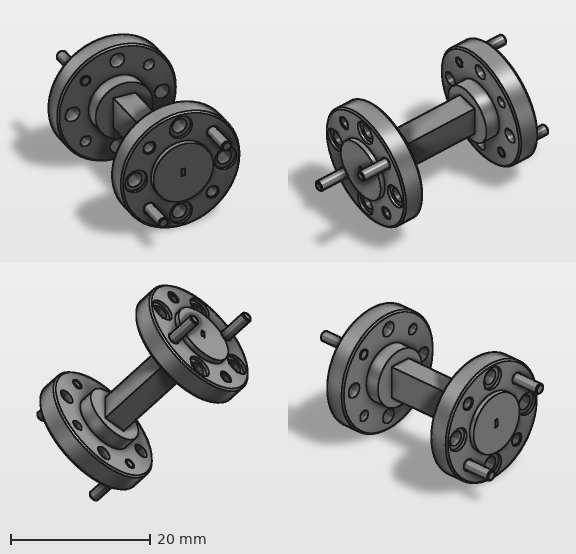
import cadquery as cq
import math

overall_length = 33.15
flange_outer_x = 11.97
flange_inner_x = 8.62
boss_face_x = 12.75
hub_face_x = 6.33

flange_diameter = 19.05
boss_diameter = 9.55
hub_diameter = 9.18
flange_chamfer = 0.25

bar_width = 3.5
bar_height = 5.07

port_width = 0.55
port_height = 1.13
port_depth = 0.15

bolt_circle_radius = 7.15
screw_hole_diameter = 2.3
counterbore_diameter = 3.58
counterbore_depth = 0.5
pin_diameter = 1.6
socket_diameter = 1.7
socket_chamfer = 0.15
pin_hole_chamfer = 0.13

pin_chamfer = 0.15
pin_length = overall_length / 2 - flange_inner_x

SIDES = (-1, 1)
SCREW_ANGLES = (0, 90, 180, 270)
DIAGONAL_ANGLES = (45, 135, 225, 315)


def has_pin(side, angle):
    """Pins sit on one diagonal of the left flange and on the other diagonal of the right one."""
    return (angle in (135, 315)) == (side < 0)


def bolt_point(angle):
    """(Y, Z) of a hole on the bolt circle, with the angle measured from +Y toward +Z."""
    turn = math.radians(angle)
    return bolt_circle_radius * math.cos(turn), bolt_circle_radius * math.sin(turn)


def cylinder(side, inner_x, outer_x, diameter, center=(0, 0)):
    """Cylinder along X between two distances from the middle, on one side."""
    base = cq.Workplane("YZ", origin=(side * inner_x, *center))
    return base.circle(diameter / 2).extrude(side * (outer_x - inner_x))


def hole_mouth(side, diameter, chamfer, center):
    """45-degree cone that chamfers a hole at the mating side of the flange."""
    cone = cq.Solid.makeCone(
        diameter / 2 + chamfer,
        diameter / 2,
        chamfer,
        pnt=cq.Vector(side * flange_outer_x, *center),
        dir=cq.Vector(-side, 0, 0),
    )
    return cq.Workplane(obj=cone)


def make_flange(side):
    disc = cylinder(side, flange_inner_x, flange_outer_x, flange_diameter)
    disc = disc.edges().chamfer(flange_chamfer)
    hub = cylinder(side, hub_face_x, flange_inner_x, hub_diameter)
    boss = cylinder(side, flange_outer_x, boss_face_x, boss_diameter)
    return disc.union(hub).union(boss)


def cut_screw_holes(body, side):
    counterbore_floor_x = flange_outer_x - counterbore_depth
    for angle in SCREW_ANGLES:
        center = bolt_point(angle)
        body = body.cut(cylinder(side, flange_inner_x, flange_outer_x, screw_hole_diameter, center))
        body = body.cut(cylinder(side, counterbore_floor_x, flange_outer_x, counterbore_diameter, center))
    return body


def cut_pin_holes(body, side):
    """Tight holes for the flange's own pins and looser sockets for the mating flange's pins."""
    for angle in DIAGONAL_ANGLES:
        center = bolt_point(angle)
        if has_pin(side, angle):
            diameter, chamfer = pin_diameter, pin_hole_chamfer
        else:
            diameter, chamfer = socket_diameter, socket_chamfer
        body = body.cut(cylinder(side, flange_inner_x, flange_outer_x, diameter, center))
        body = body.cut(hole_mouth(side, diameter, chamfer, center))
    return body


def cut_port(body, side):
    face = cq.Workplane("YZ", origin=(side * boss_face_x, 0, 0))
    return body.cut(face.rect(port_width, port_height).extrude(-side * port_depth))


def make_waveguide():
    body = cq.Workplane("XY").box(2 * hub_face_x, bar_width, bar_height)
    for side in SIDES:
        body = body.union(make_flange(side))
        body = cut_screw_holes(body, side)
        body = cut_pin_holes(body, side)
        body = cut_port(body, side)
    return body


def make_pin(side, angle):
    pin = cylinder(side, flange_inner_x, flange_inner_x + pin_length, pin_diameter, bolt_point(angle))
    return pin.edges("%CIRCLE").chamfer(pin_chamfer)


waveguide = make_waveguide()
pins = [
    make_pin(side, angle)
    for side in SIDES
    for angle in DIAGONAL_ANGLES
    if has_pin(side, angle)
]

result = cq.Compound.makeCompound([waveguide.val(), *[pin.val() for pin in pins]])